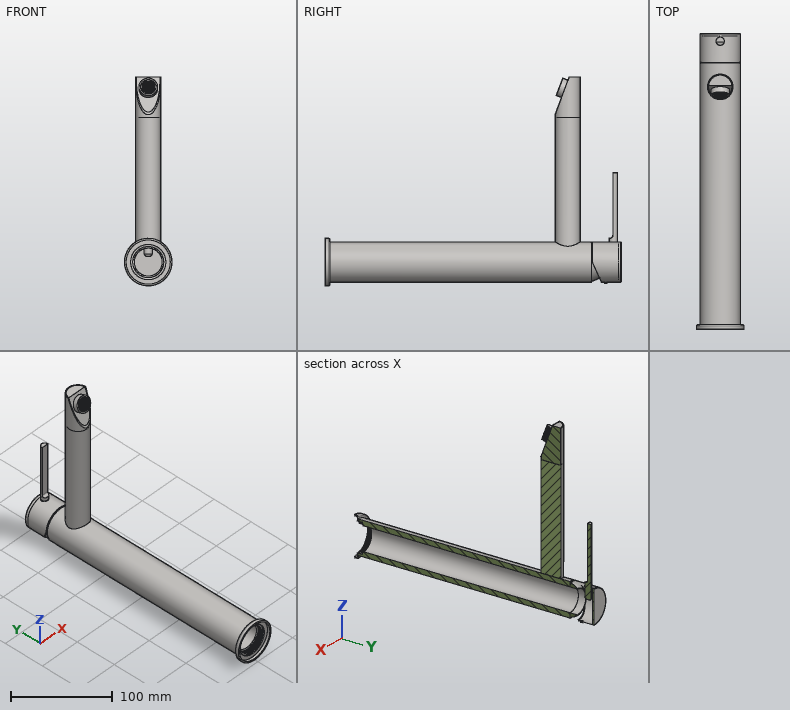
import cadquery as cq
import math


total_length = 291.7
flange_diameter = 47.0
total_height = 206.0

flange_thickness = 4.7
flange_fillet = 1.5
flange_recess_diameter = 43.5
flange_recess_depth = 3.2

tube_diameter = 40.0
tube_end_y = 262.2
bore_diameter = 27.5
thread_major_diameter = 34.7
thread_minor_diameter = 30.5
thread_pitch = 1.0
thread_turns = 6
thread_runout = 0.5

ball_radius = 19.5
ball_center_y = 258.2
collar_length = 9.0

cap_start_y = 263.0
cap_chamfer = 0.73
cap_cavity_diameter = 38.0
cap_end_wall = 3.0
cap_relief = 9.0

lever_diameter = 8.2
lever_y = 283.8
lever_bottom_z = 5.5
lever_top_z = 88.0
lever_tip_chamfer = 1.8
lever_tip_height = 2.3
lever_flat_offset = 0.5
lever_lip_z = 23.5
lever_lip_fillet = 2.5

button_diameter = 2.5
button_y = 276.2
button_projection = 1.0

spout_diameter = 25.0
spout_y = 239.0
spout_wall = 1.0
spout_slant_start = 1.5
spout_slant_height = 37.3
plug_bottom_z = 142.3

aerator_diameter = 18.5
aerator_height = 5.5
aerator_z = 170.5
grid_diameter = 15.2
grid_pitch = 1.5
grid_hole = 1.0

tube_radius = tube_diameter / 2
bore_radius = bore_diameter / 2
cavity_radius = cap_cavity_diameter / 2
lever_radius = lever_diameter / 2
spout_radius = spout_diameter / 2
spout_top_z = total_height - flange_diameter / 2
slant_start_y = spout_y + spout_slant_start
slant_end_y = spout_y - spout_radius
slant_end_z = spout_top_z - spout_slant_height
slant_run = slant_start_y - slant_end_y


def cylinder_y(diameter, start, end):
    """Cylinder on the tube axis between two Y positions."""
    return cq.Workplane("XZ", origin=(0, start, 0)).circle(diameter / 2).extrude(start - end)


def cylinder_z(diameter, y, bottom, top):
    """Vertical cylinder on the X = 0 plane at the given Y."""
    return cq.Workplane("XY", origin=(0, y, bottom)).circle(diameter / 2).extrude(top - bottom)


def revolve_about_y(profile):
    """Revolve an XY profile around the tube axis."""
    return profile.close().revolve(360, (0, 0, 0), (0, 1, 0))


def make_flange():
    """Ring under the tube with a rounded upper edge and a recess in its mounting face."""
    flange = cylinder_y(flange_diameter, 0, flange_thickness)
    flange = flange.faces(">Y").edges().fillet(flange_fillet)
    flange = flange.cut(cylinder_y(flange_recess_diameter, 0, flange_recess_depth))
    return flange.cut(cylinder_y(thread_major_diameter, 0, flange_thickness))


def make_tube():
    """Tube with V-shaped thread grooves in its mouth and a cone down to the plain bore."""
    major_radius = thread_major_diameter / 2
    minor_radius = thread_minor_diameter / 2
    profile = cq.Workplane("XY").moveTo(tube_radius, tube_end_y).lineTo(tube_radius, flange_thickness)
    for turn in range(thread_turns):
        groove_y = flange_thickness + turn * thread_pitch
        profile = profile.lineTo(major_radius, groove_y)
        profile = profile.lineTo(minor_radius, groove_y + thread_pitch / 2)
    thread_end_y = flange_thickness + thread_turns * thread_pitch
    profile = profile.lineTo(minor_radius, thread_end_y)
    profile = profile.lineTo(bore_radius, thread_end_y + thread_runout)
    return revolve_about_y(profile.lineTo(bore_radius, tube_end_y))


def make_collar():
    """Ball zone that the cap tilts on."""
    collar_end_y = tube_end_y + collar_length

    def ball_radius_at(y):
        return math.sqrt(ball_radius**2 - (y - ball_center_y) ** 2)

    middle_y = (tube_end_y + collar_end_y) / 2
    profile = (
        cq.Workplane("XY")
        .moveTo(bore_radius, tube_end_y)
        .lineTo(ball_radius_at(tube_end_y), tube_end_y)
        .threePointArc((ball_radius_at(middle_y), middle_y), (ball_radius_at(collar_end_y), collar_end_y))
        .lineTo(bore_radius, collar_end_y)
    )
    return revolve_about_y(profile)


def make_cap(lever, button):
    """Hollow cap, cut at a slant below the axis, with holes for the lever and the button."""
    cap = cylinder_y(tube_diameter, cap_start_y, total_length)
    cap = cap.faces(">Y").edges().chamfer(cap_chamfer)
    cap = cap.cut(cylinder_y(cap_cavity_diameter, cap_start_y, total_length - cap_end_wall))
    relief = (
        cq.Workplane("YZ", origin=(-tube_radius, 0, 0))
        .polyline([(cap_start_y, 0), (cap_start_y + cap_relief, -tube_radius), (cap_start_y, -tube_radius)])
        .close()
        .extrude(tube_diameter)
    )
    return cap.cut(relief).cut(lever).cut(button)


def make_lever():
    """Round rod with a coned tip, flattened on the spout side above a filleted lip."""
    lever = cylinder_z(lever_diameter, lever_y, lever_bottom_z, lever_top_z)
    lever = lever.faces("<Z").edges().chamfer(lever_tip_height, lever_tip_chamfer)
    flat_y = lever_y - lever_flat_offset
    lip_y = lever_y - lever_radius
    fillet_inset = lever_lip_fillet * (1 - math.sqrt(0.5))
    cut_side = (
        cq.Workplane("YZ", origin=(-lever_radius, 0, 0))
        .moveTo(flat_y, lever_top_z)
        .lineTo(flat_y, lever_lip_z + lever_lip_fillet)
        .threePointArc(
            (flat_y - fillet_inset, lever_lip_z + fillet_inset),
            (flat_y - lever_lip_fillet, lever_lip_z),
        )
        .lineTo(lip_y, lever_lip_z)
        .lineTo(lip_y, lever_top_z)
        .close()
        .extrude(lever_diameter)
    )
    return lever.cut(cut_side)


def make_button():
    """Small round button through the cap wall, standing slightly proud of it."""
    return cylinder_z(button_diameter, button_y, -tube_radius - button_projection, -cavity_radius)


def slant_cutter():
    """Wedge in front of the slanted spout end."""
    return (
        cq.Workplane("YZ", origin=(-spout_radius, 0, 0))
        .polyline([(slant_start_y, spout_top_z), (slant_end_y, slant_end_z), (slant_end_y, spout_top_z)])
        .close()
        .extrude(spout_diameter)
    )


def make_plug():
    """End plug flush with the flat top and the slanted face of the spout."""
    plug = cylinder_z(spout_diameter - 2 * spout_wall, spout_y, plug_bottom_z, spout_top_z)
    return plug.cut(slant_cutter())


def make_spout(plug):
    """Round spout saddled on the tube, with a recess for the plug in its slanted end."""
    spout = cylinder_z(spout_diameter, spout_y, 0, spout_top_z)
    spout = spout.cut(cylinder_y(tube_diameter, 0, tube_end_y))
    return spout.cut(slant_cutter()).cut(plug)


def aerator_plane():
    """Workplane on the slanted end, facing out of the spout."""
    center_y = slant_start_y - (spout_top_z - aerator_z) * slant_run / spout_slant_height
    return cq.Workplane(
        cq.Plane(
            origin=(0, center_y, aerator_z),
            xDir=(1, 0, 0),
            normal=(0, -spout_slant_height, slant_run),
        )
    )


def make_aerator():
    """Aerator ring standing on the slanted face around the grid."""
    return aerator_plane().circle(aerator_diameter / 2).circle(grid_diameter / 2).extrude(aerator_height)


def make_grid():
    """Round grid with square through holes that stay inside its edge."""
    grid_radius = grid_diameter / 2
    reach = math.floor(grid_radius / grid_pitch)
    steps = [step * grid_pitch for step in range(-reach, reach + 1)]
    hole_reach = grid_radius - grid_hole / math.sqrt(2)
    centers = [(x, y) for x in steps for y in steps if math.hypot(x, y) < hole_reach]
    grid = aerator_plane().circle(grid_radius).extrude(aerator_height)
    holes = aerator_plane().pushPoints(centers).rect(grid_hole, grid_hole).extrude(aerator_height)
    return grid.cut(holes)


flange = make_flange()
tube = make_tube()
collar = make_collar()
lever = make_lever()
button = make_button()
cap = make_cap(lever, button)
plug = make_plug()
spout = make_spout(plug)
aerator = make_aerator()
grid = make_grid()

bodies = [flange, tube, collar, cap, lever, button, spout, plug, aerator, grid]
result = cq.Compound.makeCompound([body.solids().val() for body in bodies])